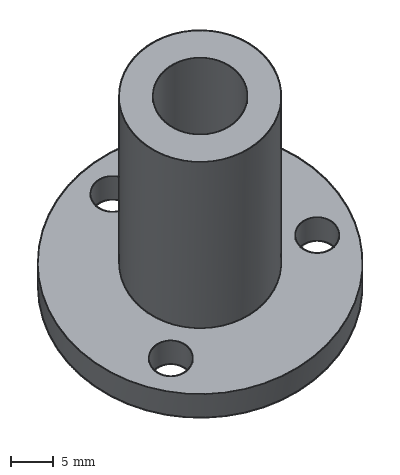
import cadquery as cq

flange_diameter = 38.1
flange_thickness = 4.7625
sleeve_diameter = flange_diameter / 2
overall_height = 38.1
bore_diameter = 11.11

mount_hole_diameter = 5.16
mount_hole_count = 3
first_hole_angle = 90
bolt_circle_radius = (flange_diameter + sleeve_diameter) / 4


def make_body():
    """Round flange with a concentric sleeve standing on it."""
    flange = cq.Workplane("XY").circle(flange_diameter / 2).extrude(flange_thickness)
    sleeve = cq.Workplane("XY").circle(sleeve_diameter / 2).extrude(overall_height)
    return flange.union(sleeve)


def make_bore():
    """Cutter for the bore through the full height."""
    return cq.Workplane("XY").circle(bore_diameter / 2).extrude(overall_height)


def make_mount_holes():
    """Cutters for the holes through the flange."""
    return (
        cq.Workplane("XY")
        .polarArray(bolt_circle_radius, first_hole_angle, 360, mount_hole_count)
        .circle(mount_hole_diameter / 2)
        .extrude(flange_thickness)
    )


result = make_body().cut(make_bore()).cut(make_mount_holes())